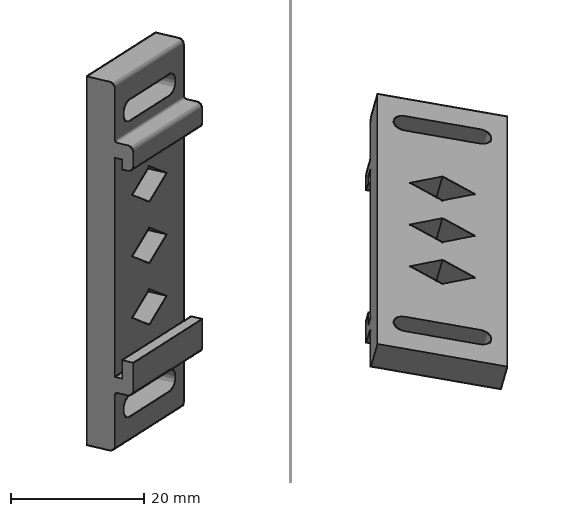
import cadquery as cq
import math

plate_height = 60.0
plate_width = plate_height / 3
plate_thickness = 5.0
plate_edge_radius = 0.95

hook_gap = 1.25
lip_thickness = 2.0
arm_thickness = 2.5
hook_inset = 9.65
upper_lip_length = 1.6
lower_lip_length = 3.0
hook_corner_radius = 1.0
hook_root_radius = 0.5

slot_length = 15.0
slot_width = 3.5
slot_pitch = 48.1
diamond_width = plate_width / 2
diamond_side_angle = 30.0
diamond_height = diamond_width * math.tan(math.radians(diamond_side_angle))
diamond_pitch = plate_width / 2
diamond_count = 3

hook_reach = plate_thickness + hook_gap + lip_thickness
half_height = plate_height / 2
arm_outer_z = half_height - hook_inset
arm_inner_z = arm_outer_z - arm_thickness


def along_width(outline):
    """Extrude a closed XZ outline symmetrically across the plate width."""
    return outline.extrude(plate_width / 2, both=True)


def make_plate():
    plate = cq.Workplane("XY").box(
        plate_thickness, plate_width, plate_height, centered=(False, True, True)
    )
    return plate.edges("|Y and >X").fillet(plate_edge_radius)


def make_hook(lip_length, rounded_tip):
    """Build a hook above the plate centre, with its lip pointing down."""
    lip_x = plate_thickness + hook_gap
    tip_z = arm_inner_z - lip_length
    root_x = plate_thickness / 2
    outline = (
        cq.Workplane("XZ")
        .moveTo(root_x, arm_outer_z)
        .lineTo(hook_reach, arm_outer_z)
        .lineTo(hook_reach, tip_z)
        .lineTo(lip_x, tip_z)
        .lineTo(lip_x, arm_inner_z)
        .lineTo(root_x, arm_inner_z)
        .close()
    )
    hook = along_width(outline)
    rounded_edges = "|Y and >X" if rounded_tip else "(|Y and >X) and >Z"
    hook = hook.edges(rounded_edges).fillet(hook_corner_radius)

    mid_offset = hook_root_radius * (1 - math.sqrt(0.5))
    root_blend = (
        cq.Workplane("XZ")
        .moveTo(plate_thickness, arm_outer_z)
        .lineTo(plate_thickness + hook_root_radius, arm_outer_z)
        .threePointArc(
            (plate_thickness + mid_offset, arm_outer_z + mid_offset),
            (plate_thickness, arm_outer_z + hook_root_radius),
        )
        .close()
    )
    return hook.union(along_width(root_blend))


def make_slots():
    return (
        cq.Workplane("YZ")
        .rarray(0.6, slot_pitch, 1, 2)
        .slot2D(slot_length, slot_width)
        .extrude(plate_thickness)
    )


def make_diamonds():
    half_width = diamond_width / 2
    half_diamond_height = diamond_height / 2
    diamond = (
        cq.Workplane("YZ")
        .polyline([
            (half_width, 0),
            (0, half_diamond_height),
            (-half_width, 0),
            (0, -half_diamond_height),
        ])
        .close()
        .extrude(plate_thickness)
    )
    diamonds = cq.Workplane("YZ")
    for index in range(diamond_count):
        z = (index - (diamond_count - 1) / 2) * diamond_pitch
        diamonds = diamonds.add(diamond.translate((0, 0, z)))
    return diamonds.combine()


upper_hook = make_hook(upper_lip_length, rounded_tip=True)
lower_hook = make_hook(lower_lip_length, rounded_tip=False).mirror("XY")

result = (
    make_plate()
    .union(upper_hook)
    .union(lower_hook)
    .cut(make_slots())
    .cut(make_diamonds())
)